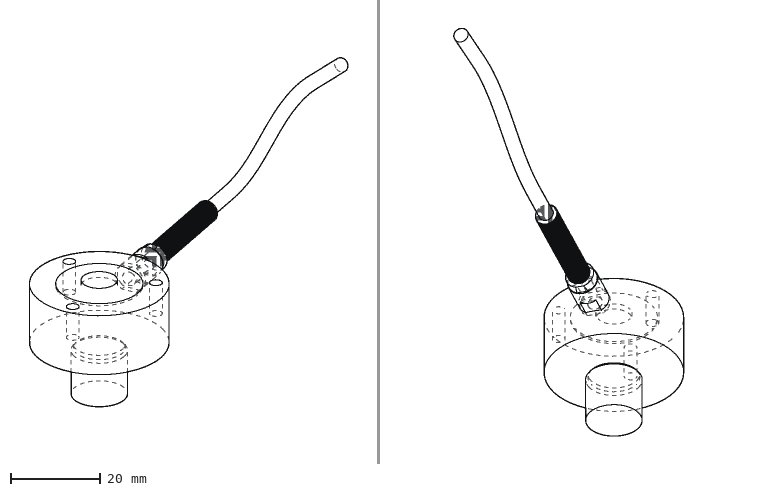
import cadquery as cq
import math

DRUM_DIA = 31.2
DRUM_HEIGHT = 14.8
RECESS_DIA = 19.5
RECESS_DEPTH = 0.6
BUTTON_DIA = 8.1
BUTTON_RISE = 0.9
DOME_RISE = 0.3
DIAPHRAGM_FILLET = 0.3
MOUNT_HOLE_DIA = 2.8
MOUNT_HOLE_DEPTH = 7.7
MOUNT_CIRCLE_RADIUS = 12.7
MOUNT_ANGLES = (30, 150, 270)
STUD_DIA = 12.7
STUD_LENGTH = 12.9
NECK_DIA = 11.6
NECK_LENGTH = 1.3
NECK_FILLET = 0.5
STUD_SHOULDER_LENGTH = 0.6
SELECTION_MARGIN = 0.01

AXIS_HEIGHT = 9.5
SOCKET_FLOOR_Y = 14.2
GLAND_DIA = 7.1
GLAND_FLATS = 6.1
FLATS_END_Y = 19.6
GLAND_END_Y = 23.8
COLLAR_DIA = 6.8
COLLAR_TIP_DIA = 6.6
COLLAR_FLATS = 6.3
COLLAR_END_Y = 26.1
BOOT_DIA = 5.2
BOOT_END_Y = 51.5
RIB_COUNT = 58
RIB_PITCH = 0.433
RIB_HEIGHT = RIB_PITCH / 2
BOOT_ROOT_RADIUS = BOOT_DIA / 2 - RIB_HEIGHT
FIRST_RIB_Y = BOOT_END_Y - RIB_COUNT * RIB_PITCH

CABLE_DIA = 3.4
CABLE_LEAN = 6.0
BEND_RADIUS = 25.8
BEND_START_Y = 61.9
CLIMB_ANGLE = 31.0
CLIMB_LENGTH = 7.4
DROOP_ANGLE = 8.3
TIP_LENGTH = 15.0


def round_inner_corner(body, height, reach, radius):
    """Fillet every edge that lies at one height, within a given distance of the Z axis."""
    corner = cq.selectors.BoxSelector(
        (-reach, -reach, height - SELECTION_MARGIN),
        (reach, reach, height + SELECTION_MARGIN),
        boundingbox=True,
    )
    return body.edges(corner).fillet(radius)


def make_housing_blank():
    """Drum, diaphragm recess, domed load button and stud as one turned shape."""
    drum_radius = DRUM_DIA / 2
    stud_top = -(NECK_LENGTH + STUD_SHOULDER_LENGTH)
    recess_floor = DRUM_HEIGHT - RECESS_DEPTH
    button_rim = DRUM_HEIGHT + BUTTON_RISE
    dome_top = button_rim + DOME_RISE
    dome_radius = ((BUTTON_DIA / 2) ** 2 + DOME_RISE**2) / (2 * DOME_RISE)
    mid_angle = math.asin(BUTTON_DIA / 2 / dome_radius) / 2
    dome_mid = (
        dome_radius * math.sin(mid_angle),
        dome_top - dome_radius * (1 - math.cos(mid_angle)),
    )
    blank = (
        cq.Workplane("XZ")
        .moveTo(0, -STUD_LENGTH)
        .lineTo(STUD_DIA / 2, -STUD_LENGTH)
        .lineTo(STUD_DIA / 2, stud_top)
        .lineTo(NECK_DIA / 2, -NECK_LENGTH)
        .lineTo(NECK_DIA / 2, 0)
        .lineTo(drum_radius, 0)
        .lineTo(drum_radius, DRUM_HEIGHT)
        .lineTo(RECESS_DIA / 2, DRUM_HEIGHT)
        .lineTo(RECESS_DIA / 2, recess_floor)
        .lineTo(BUTTON_DIA / 2, recess_floor)
        .lineTo(BUTTON_DIA / 2, button_rim)
        .threePointArc(dome_mid, (0, dome_top))
        .close()
        .revolve(360, (0, 0, 0), (0, 1, 0))
    )
    recess_reach = RECESS_DIA / 2 + SELECTION_MARGIN
    neck_reach = NECK_DIA / 2 + SELECTION_MARGIN
    blank = round_inner_corner(blank, recess_floor, recess_reach, DIAPHRAGM_FILLET)
    return round_inner_corner(blank, 0, neck_reach, NECK_FILLET)


def make_mount_hole(angle):
    turn = math.radians(angle)
    return (
        cq.Workplane("XY", origin=(0, 0, DRUM_HEIGHT))
        .center(MOUNT_CIRCLE_RADIUS * math.cos(turn), MOUNT_CIRCLE_RADIUS * math.sin(turn))
        .circle(MOUNT_HOLE_DIA / 2)
        .extrude(-MOUNT_HOLE_DEPTH)
    )


def make_housing(strain_relief, cable):
    housing = make_housing_blank()
    for angle in MOUNT_ANGLES:
        housing = housing.cut(make_mount_hole(angle))
    return housing.cut(strain_relief).cut(cable)


def cut_flats(body, start_y, end_y, across_flats):
    """Trim the body above and below to a given thickness between two places along Y."""
    length = end_y - start_y
    outside = cq.Workplane("XY").box(GLAND_DIA, length, GLAND_DIA)
    between = cq.Workplane("XY").box(GLAND_DIA, length, across_flats)
    trim = outside.cut(between).translate((0, (start_y + end_y) / 2, AXIS_HEIGHT))
    return body.cut(trim)


def make_strain_relief():
    """Gland, tapered collar and ribbed boot around the cable bore."""
    profile = (
        cq.Workplane("XY")
        .moveTo(CABLE_DIA / 2, SOCKET_FLOOR_Y)
        .lineTo(GLAND_DIA / 2, SOCKET_FLOOR_Y)
        .lineTo(GLAND_DIA / 2, GLAND_END_Y)
        .lineTo(COLLAR_DIA / 2, GLAND_END_Y)
        .lineTo(COLLAR_TIP_DIA / 2, COLLAR_END_Y)
        .lineTo(BOOT_ROOT_RADIUS, COLLAR_END_Y)
        .lineTo(BOOT_ROOT_RADIUS, FIRST_RIB_Y)
    )
    for rib in range(RIB_COUNT):
        rib_start = FIRST_RIB_Y + rib * RIB_PITCH
        profile = profile.threePointArc(
            (BOOT_ROOT_RADIUS + RIB_HEIGHT, rib_start + RIB_PITCH / 2),
            (BOOT_ROOT_RADIUS, rib_start + RIB_PITCH),
        )
    body = (
        profile.lineTo(CABLE_DIA / 2, BOOT_END_Y)
        .close()
        .revolve(360, (0, 0, 0), (0, 1, 0))
        .translate((0, 0, AXIS_HEIGHT))
    )
    body = cut_flats(body, SOCKET_FLOOR_Y, FLATS_END_Y, GLAND_FLATS)
    return cut_flats(body, GLAND_END_Y, COLLAR_END_Y, COLLAR_FLATS)


def along(point, angle, length):
    """The point reached from another by going a length at an angle in degrees."""
    turn = math.radians(angle)
    return (point[0] + length * math.cos(turn), point[1] + length * math.sin(turn))


def bend(point, start_angle, end_angle):
    """Middle and end of an arc that turns from one heading to another."""
    side = 90 if end_angle > start_angle else -90
    centre = along(point, start_angle + side, BEND_RADIUS)
    middle = along(centre, (start_angle + end_angle) / 2 - side, BEND_RADIUS)
    return middle, along(centre, end_angle - side, BEND_RADIUS)


def make_cable():
    bend_start = (BEND_START_Y, 0)
    rise_mid, rise_end = bend(bend_start, 0, CLIMB_ANGLE)
    climb_end = along(rise_end, CLIMB_ANGLE, CLIMB_LENGTH)
    crest_mid, crest_end = bend(climb_end, CLIMB_ANGLE, -DROOP_ANGLE)
    tip = along(crest_end, -DROOP_ANGLE, TIP_LENGTH)
    path = (
        cq.Workplane("YZ")
        .moveTo(SOCKET_FLOOR_Y, 0)
        .lineTo(*bend_start)
        .threePointArc(rise_mid, rise_end)
        .lineTo(*climb_end)
        .threePointArc(crest_mid, crest_end)
        .lineTo(*tip)
    )
    return (
        cq.Workplane("XZ", origin=(0, SOCKET_FLOOR_Y, 0))
        .circle(CABLE_DIA / 2)
        .sweep(path)
        .rotate((0, 0, 0), (0, 1, 0), CABLE_LEAN)
        .translate((0, 0, AXIS_HEIGHT))
    )


strain_relief = make_strain_relief()
cable = make_cable()
housing = make_housing(strain_relief, cable)

result = cq.Compound.makeCompound([housing.val(), strain_relief.val(), cable.val()])